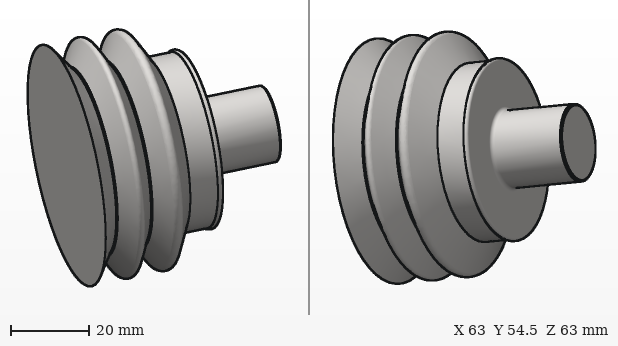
import cadquery as cq
import math

total_length = 54.5
outer_radius = 63.0 / 2

stub_radius = 20.0 / 2
stub_length = 20.0
stub_chamfer = 0.4
stub_root_fillet = 1.0

collar_radius = 46.0 / 2
bead_radius = 0.75
bead_outer_radius = 23.5

fold_angle = math.radians(30)
back_crest_y = 19.85
back_crest_round = 1.5
front_crest_y = 9.9
front_crest_round = 1.0
front_valley_radius = 24.5
valley_round = 0.25

collar_back_y = total_length - stub_length
bead_center_y = collar_back_y - bead_radius
bead_center_radius = bead_outer_radius - bead_radius
bead_meets_collar_y = bead_center_y - math.sqrt(
    bead_radius**2 - (collar_radius - bead_center_radius) ** 2
)


def sharp_crest_radius(crest_round):
    """Radius where the two flanks of a fold would meet without rounding."""
    return outer_radius + crest_round * (1 / math.sin(fold_angle) - 1)


flank_rise = math.tan(fold_angle)
back_apex = (sharp_crest_radius(back_crest_round), back_crest_y)
front_apex = (sharp_crest_radius(front_crest_round), front_crest_y)

shoulder_y = back_crest_y + (back_apex[0] - collar_radius) * flank_rise

back_valley_radius = (back_apex[0] + front_apex[0] - (back_crest_y - front_crest_y) / flank_rise) / 2
back_valley = (back_valley_radius, front_crest_y + (front_apex[0] - back_valley_radius) * flank_rise)
front_valley = (front_valley_radius, front_crest_y - (front_apex[0] - front_valley_radius) * flank_rise)


def turned_body():
    """Revolve the half outline, with sharp corners on the folds."""
    outline = (
        cq.Workplane("XY")
        .moveTo(0, 0)
        .lineTo(outer_radius, 0)
        .lineTo(*front_valley)
        .lineTo(*front_apex)
        .lineTo(*back_valley)
        .lineTo(*back_apex)
        .lineTo(collar_radius, shoulder_y)
        .lineTo(collar_radius, bead_meets_collar_y)
        .threePointArc((bead_outer_radius, bead_center_y), (bead_center_radius, collar_back_y))
        .lineTo(stub_radius + stub_root_fillet, collar_back_y)
        .radiusArc((stub_radius, collar_back_y + stub_root_fillet), stub_root_fillet)
        .lineTo(stub_radius, total_length - stub_chamfer)
        .lineTo(stub_radius - stub_chamfer, total_length)
        .lineTo(0, total_length)
        .close()
    )
    return outline.revolve(360, (0, 0, 0), (0, 1, 0))


def round_ring(body, corner, radius):
    """Fillet the circular edge that passes through an outline corner."""
    nearest = cq.selectors.NearestToPointSelector((0, corner[1], 0))
    return body.edges("%CIRCLE").edges(nearest).fillet(radius)


result = turned_body()
result = round_ring(result, back_apex, back_crest_round)
result = round_ring(result, front_apex, front_crest_round)
result = round_ring(result, back_valley, valley_round)
result = round_ring(result, front_valley, valley_round)